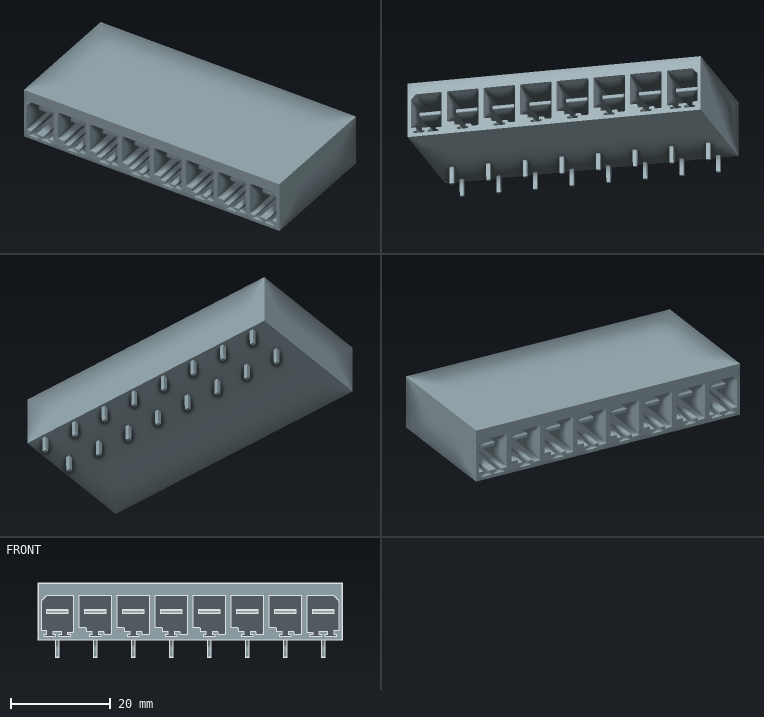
import cadquery as cq

WAYS = 8
LENGTH = 60.95
PITCH = LENGTH / WAYS
DEPTH = 28.3
HEIGHT = 11.4
FRONT_Y = -DEPTH / 2
BACK_Y = DEPTH / 2

SOCKET_DEPTH = 18.3
SOCKET_TOP = 8.95
RAIL_Z = 1.7
SLOT_FOOT_TOP = 1.15
SLOT_FOOT_BOTTOM = 0.75
SLOT_NECK_WIDTH = 1.3
SLOT_FOOT_WIDTH = 2.3

INNER_HALF_WIDTH = 3.3
INNER_STEP_X = 1.75
INNER_HIGH_FLOOR_Z = 2.5
INNER_LOW_FLOOR_Z = 1.15
INNER_CORNER_RADIUS = 0.25

END_OUTER_X = -3.2
END_INNER_X = 3.25
END_CHAMFER = 1.1
END_CORNER_RADIUS = 0.2
END_SLOT_OFFSET = 1.45
END_OUTER_FLOOR_Z = 1.9
END_INNER_FLOOR_Z = 1.5

BLADE_WIDTH = 4.4
BLADE_THICKNESS = 0.8
BLADE_Z = HEIGHT / 2
BLADE_RECESS = 3.0
BLADE_TIP_CHAMFER = 0.1
LEG_WIDTH = 0.8
LEG_THICKNESS = 0.9
LEG_LENGTH = 3.5
LEG_TIP_LENGTH = 1.0
LEG_TIP_TAPER = 0.1
LEG_PITCH = PITCH
REAR_LEG_Y = BACK_Y - 1.05


def extrude_into_housing(outline):
    """Extrude an XZ outline from the front face to the socket depth."""
    sketch = cq.Workplane("XZ", origin=(0, FRONT_Y, 0)).polyline(outline).close()
    return sketch.extrude(-SOCKET_DEPTH)


def t_slot(x, neck_top):
    """Inverted-T groove under the socket floor."""
    neck = SLOT_NECK_WIDTH / 2
    foot = SLOT_FOOT_WIDTH / 2
    return extrude_into_housing([
        (x - neck, neck_top),
        (x - neck, SLOT_FOOT_TOP),
        (x - foot, SLOT_FOOT_TOP),
        (x - foot, SLOT_FOOT_BOTTOM),
        (x + foot, SLOT_FOOT_BOTTOM),
        (x + foot, SLOT_FOOT_TOP),
        (x + neck, SLOT_FOOT_TOP),
        (x + neck, neck_top),
    ])


def round_corners(socket, corners, radius):
    """Fillet the long edges of a socket that start at the given XZ corners."""
    middle_y = FRONT_Y + SOCKET_DEPTH / 2
    for x, z in corners:
        nearest = cq.selectors.NearestToPointSelector((x, middle_y, z))
        socket = socket.edges("|Y").edges(nearest).fillet(radius)
    return socket


def inner_socket():
    """Socket with a floor in three levels and one central T-slot."""
    half = INNER_HALF_WIDTH
    step = INNER_STEP_X
    high_corner = (-half, INNER_HIGH_FLOOR_Z)
    high_step = (-step, INNER_HIGH_FLOOR_Z)
    low_step = (step, RAIL_Z)
    low_corner = (half, INNER_LOW_FLOOR_Z)
    top_right = (half, SOCKET_TOP)
    top_left = (-half, SOCKET_TOP)
    socket = extrude_into_housing([
        high_corner,
        high_step,
        (-step, RAIL_Z),
        low_step,
        (step, INNER_LOW_FLOOR_Z),
        low_corner,
        top_right,
        top_left,
    ])
    rounded_corners = (high_corner, high_step, low_step, low_corner, top_right, top_left)
    socket = round_corners(socket, rounded_corners, INNER_CORNER_RADIUS)
    return socket.union(t_slot(0, RAIL_Z))


def end_socket():
    """Socket for the -X end, with a chamfered outer corner and two T-slots."""
    outer_slot_x = -END_SLOT_OFFSET
    inner_slot_x = END_SLOT_OFFSET
    outer_floor_end = outer_slot_x - SLOT_NECK_WIDTH / 2
    inner_floor_start = inner_slot_x + SLOT_NECK_WIDTH / 2
    outer_corner = (END_OUTER_X, END_OUTER_FLOOR_Z)
    inner_corner = (END_INNER_X, END_INNER_FLOOR_Z)
    inner_top_corner = (END_INNER_X, SOCKET_TOP)
    socket = extrude_into_housing([
        outer_corner,
        (outer_floor_end, END_OUTER_FLOOR_Z),
        (outer_floor_end, RAIL_Z),
        (inner_floor_start, RAIL_Z),
        (inner_floor_start, END_INNER_FLOOR_Z),
        inner_corner,
        inner_top_corner,
        (END_OUTER_X + END_CHAMFER, SOCKET_TOP),
        (END_OUTER_X, SOCKET_TOP - END_CHAMFER),
    ])
    rounded_corners = (outer_corner, inner_corner, inner_top_corner)
    socket = round_corners(socket, rounded_corners, END_CORNER_RADIUS)
    return socket.union(t_slot(outer_slot_x, RAIL_Z)).union(t_slot(inner_slot_x, RAIL_Z))


def leg(y):
    """Solder leg from the blade's mid-plane down to a tip tapered in Y."""
    half = LEG_THICKNESS / 2
    tip_half = half - LEG_TIP_TAPER
    tip_start = LEG_TIP_LENGTH - LEG_LENGTH
    outline = [
        (y - half, BLADE_Z),
        (y - half, tip_start),
        (y - tip_half, -LEG_LENGTH),
        (y + tip_half, -LEG_LENGTH),
        (y + half, tip_start),
        (y + half, BLADE_Z),
    ]
    return cq.Workplane("YZ").polyline(outline).close().extrude(LEG_WIDTH / 2, both=True)


def contact():
    """Flat blade running back to the rear leg, with both legs."""
    tip_y = FRONT_Y + BLADE_RECESS
    blade_length = REAR_LEG_Y + LEG_THICKNESS / 2 - tip_y
    blade = (
        cq.Workplane("XY", origin=(0, tip_y + blade_length / 2, BLADE_Z))
        .box(BLADE_WIDTH, blade_length, BLADE_THICKNESS)
        .faces("<Y").edges("|X").chamfer(BLADE_TIP_CHAMFER)
    )
    return blade.union(leg(REAR_LEG_Y)).union(leg(REAR_LEG_Y - LEG_PITCH))


way_positions = [(way - (WAYS - 1) / 2) * PITCH for way in range(WAYS)]

contacts = [contact().translate((x, 0, 0)) for x in way_positions]

housing = cq.Workplane("XY").box(LENGTH, DEPTH, HEIGHT, centered=(True, True, False))
housing = housing.cut(end_socket().translate((way_positions[0], 0, 0)))
housing = housing.cut(end_socket().mirror("YZ").translate((way_positions[-1], 0, 0)))
for x in way_positions[1:-1]:
    housing = housing.cut(inner_socket().translate((x, 0, 0)))
for body in contacts:
    housing = housing.cut(body)

result = cq.Compound.makeCompound([housing.val(), *[body.val() for body in contacts]])